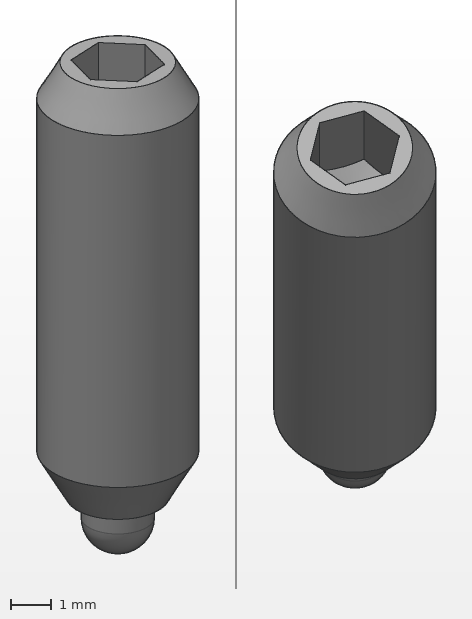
import cadquery as cq
import math

total_length = 13.5
body_radius = 2.0
cone_half_angle = math.radians(30)

top_cone_height = 1.0
bottom_cone_height = 1.25
top_radius = body_radius - top_cone_height * math.tan(cone_half_angle)
bottom_radius = body_radius - bottom_cone_height * math.tan(cone_half_angle)

pin_radius = 0.9
pin_length = 1.5

socket_across_flats = 2.0
socket_depth = 2.0
socket_point_half_angle = math.radians(60)
socket_corner_radius = socket_across_flats / math.sqrt(3)
socket_point_height = socket_corner_radius / math.tan(socket_point_half_angle)


def make_socket():
    """Hexagonal prism, corners along X, ending in a cone through its corners."""
    full_depth = socket_depth + socket_point_height
    prism = (
        cq.Workplane("XY", origin=(0, 0, total_length - full_depth))
        .polygon(6, 2 * socket_corner_radius)
        .extrude(full_depth)
    )
    pointed_cylinder = (
        cq.Workplane("XZ")
        .moveTo(0, total_length)
        .lineTo(socket_corner_radius, total_length)
        .lineTo(socket_corner_radius, total_length - socket_depth)
        .lineTo(0, total_length - full_depth)
        .close()
        .revolve(360, (0, 0), (0, 1))
    )
    return prism.intersect(pointed_cylinder)


def make_sleeve():
    """Cylinder tapered at both ends, with the socket in its top face."""
    blank = (
        cq.Workplane("XZ")
        .moveTo(0, pin_length)
        .lineTo(bottom_radius, pin_length)
        .lineTo(body_radius, pin_length + bottom_cone_height)
        .lineTo(body_radius, total_length - top_cone_height)
        .lineTo(top_radius, total_length)
        .lineTo(0, total_length)
        .close()
        .revolve(360, (0, 0), (0, 1))
    )
    return blank.cut(make_socket())


def make_pin():
    """Short cylinder with a hemispherical nose, touching the sleeve's lower face."""
    arc_offset = pin_radius * math.sqrt(0.5)
    return (
        cq.Workplane("XZ")
        .moveTo(0, 0)
        .threePointArc((arc_offset, pin_radius - arc_offset), (pin_radius, pin_radius))
        .lineTo(pin_radius, pin_length)
        .lineTo(0, pin_length)
        .close()
        .revolve(360, (0, 0), (0, 1))
    )


sleeve = make_sleeve()
pin = make_pin()
result = cq.Compound.makeCompound([sleeve.val(), pin.val()])